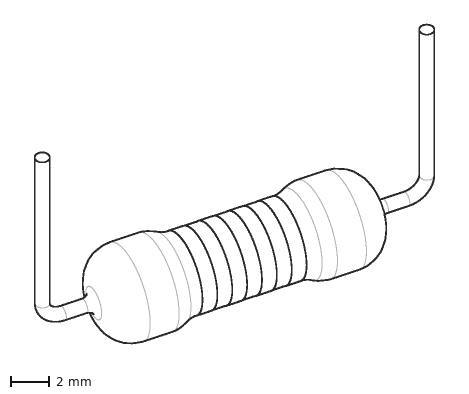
import cadquery as cq
import math

body_length = 16.5
cap_diameter = 5.5
core_diameter = 4.67
band_diameter = 4.7
cap_corner_radius = 1.925
cap_inner_end = 4.63

band_count = 4
band_width = 0.87
band_pitch = 2 * band_width

wire_diameter = 0.8
lead_spacing = 22.5
lead_top = 11.35
bend_radius = 1.2
wire_fillet_radius = 0.55

body_half = body_length / 2
cap_radius = cap_diameter / 2
core_radius = core_diameter / 2
wire_radius = wire_diameter / 2
lead_y = lead_spacing / 2

core_half = (band_pitch * (band_count - 1) + band_width) / 2


def circle_point(center, radius, degrees):
    """Point on a circle given as (radial distance, axial distance)."""
    angle = math.radians(degrees)
    return (center[0] + radius * math.cos(angle), center[1] + radius * math.sin(angle))


def make_end_cap():
    """End cap on the +Y side, with the neck down to the core and the flare around the wire."""
    neck_length = cap_inner_end - core_half
    neck_drop = cap_radius - core_radius
    neck_angle = math.degrees(2 * math.atan(neck_drop / neck_length))
    neck_radius = (neck_length**2 + neck_drop**2) / (4 * neck_drop)
    core_arc_center = (core_radius + neck_radius, core_half)
    cap_arc_center = (cap_radius - neck_radius, cap_inner_end)
    neck_middle = ((core_radius + cap_radius) / 2, (core_half + cap_inner_end) / 2)

    corner_start = body_half - cap_corner_radius
    corner_center = (cap_radius - cap_corner_radius, corner_start)

    flare_center_radius = wire_radius + wire_fillet_radius
    center_distance = cap_corner_radius + wire_fillet_radius
    contact_angle = math.degrees(math.acos((flare_center_radius - corner_center[0]) / center_distance))
    flare_center = circle_point(corner_center, center_distance, contact_angle)
    flare_contact = circle_point(corner_center, cap_corner_radius, contact_angle)
    flare_end = flare_center[1]
    flare_start_angle = 180 + contact_angle
    flare_middle_angle = (flare_start_angle + 180) / 2

    return (
        cq.Workplane("XY")
        .moveTo(0, core_half)
        .lineTo(core_radius, core_half)
        .threePointArc(circle_point(core_arc_center, neck_radius, 180 - neck_angle / 2), neck_middle)
        .threePointArc(
            circle_point(cap_arc_center, neck_radius, -neck_angle / 2),
            (cap_radius, cap_inner_end),
        )
        .lineTo(cap_radius, corner_start)
        .threePointArc(
            circle_point(corner_center, cap_corner_radius, contact_angle / 2),
            flare_contact,
        )
        .threePointArc(
            circle_point(flare_center, wire_fillet_radius, flare_middle_angle),
            (wire_radius, flare_end),
        )
        .lineTo(0, flare_end)
        .close()
        .revolve(360, (0, 0, 0), (0, 1, 0))
    )


def make_disc(diameter, width, center_y):
    """Disc about the Y axis, centred on center_y."""
    return (
        cq.Workplane("XZ", origin=(0, center_y + width / 2, 0))
        .circle(diameter / 2)
        .extrude(width)
    )


def make_banded_core():
    """Straight core with its raised rings, each made as a disc through the core."""
    core = make_disc(core_diameter, 2 * core_half, 0)
    for index in range(band_count):
        center_y = (index - (band_count - 1) / 2) * band_pitch
        core = core.union(make_disc(band_diameter, band_width, center_y))
    return core


def make_lead():
    """Lead on the +Y side: out along the axis, then bent straight up."""
    bend_start = lead_y - bend_radius
    bend_offset = bend_radius * math.sin(math.radians(45))
    path = (
        cq.Workplane("YZ")
        .moveTo(body_half, 0)
        .lineTo(bend_start, 0)
        .threePointArc((bend_start + bend_offset, bend_radius - bend_offset), (lead_y, bend_radius))
        .lineTo(lead_y, lead_top)
    )
    return cq.Workplane("XZ", origin=(0, body_half, 0)).circle(wire_radius).sweep(path)


end = make_end_cap().union(make_lead())
result = make_banded_core().union(end).union(end.mirror("XZ"))